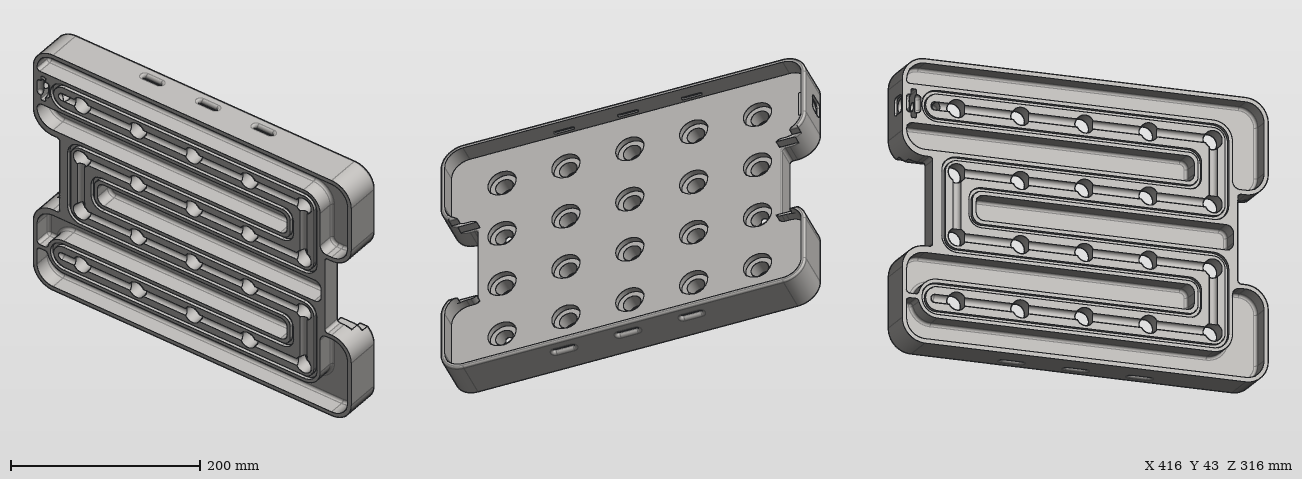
import cadquery as cq
import math

length = 416.0
height = 316.0
depth = 43.0
corner_radius = 26.0
waist_half_length = 173.5
notch_half_height = 50.0
notch_corner_radius = 3.7
back_edge_radius = 2.5
channel_edge_radius = 1.2

waist_depth = 23.5
ledge_depth = 33.0
channel_half_height = 52.0
ledge_half_height = 56.0

hole_diameter = 20.0
counterbore_diameter = 32.0
counterbore_floor = 16.5
hole_pitch_x = 73.0
hole_columns = 5
row_pitch = 71.35
groove_diameter = 9.0
groove_end_x = -170.5
row_end_x = -168.0

seal_offset = 15.5
seal_width = 4.0
seal_depth = 4.0
seal_inner_radius = 12.5

wall = 5.0
land_offset = 21.5
pocket_depth = 21.2
pocket_floor_radius = 3.5
pocket_corner_radius = 8.7
rib_thickness = 5.0
rib_corner_radius = 3.7

slot_depth = 28.3
slot_straight = 19.5
slot_width = 3.7
slot_mouth_radius = 3.7

port_depth = 12.5
port_recess_side = 20.0
port_recess_depth = 3.0
port_recess_radius = 4.0
port_hole_diameter = 15.0
port_bore_diameter = 9.0
nest_start = -203.0
nest_length = 16.2
nest_depth = 5.0
nest_floor_radius = 3.95
collar_height = 32.0
collar_width = 6.0
collar_corner_radius = 1.5

half_length = length / 2
half_height = height / 2
row_z = [row_pitch * (1.5 - row) for row in range(4)]
column_x = [hole_pitch_x * (column - (hole_columns - 1) / 2) for column in range(hole_columns)]
first_x = column_x[0]
last_x = column_x[-1]


def rounded_outline(corners):
    """Closed outline in the XZ plane from (x, z, radius) corners."""
    count = len(corners)
    arcs = []
    for i, (x, z, radius) in enumerate(corners):
        before = corners[i - 1]
        after = corners[(i + 1) % count]
        vertex = cq.Vector(x, z)
        to_before = (cq.Vector(before[0], before[1]) - vertex).normalized()
        to_after = (cq.Vector(after[0], after[1]) - vertex).normalized()
        half_angle = to_before.getAngle(to_after) / 2
        setback = radius / math.tan(half_angle)
        bisector = (to_before + to_after).normalized()
        middle = vertex + bisector * (radius / math.sin(half_angle) - radius)
        arcs.append((vertex + to_before * setback, middle, vertex + to_after * setback))

    outline = cq.Workplane("XZ").moveTo(*arcs[0][0].toTuple()[:2])
    last_end = arcs[0][0]
    for start, middle, end in arcs:
        if (start - last_end).Length > 4.16e-06:
            outline = outline.lineTo(start.x, start.y)
        outline = outline.threePointArc((middle.x, middle.y), (end.x, end.y))
        last_end = end
    return outline.close()


def plate_outline():
    right_half = [
        (half_length, half_height, corner_radius),
        (half_length, notch_half_height, corner_radius),
        (waist_half_length, notch_half_height, notch_corner_radius),
        (waist_half_length, -notch_half_height, notch_corner_radius),
        (half_length, -notch_half_height, corner_radius),
        (half_length, -half_height, corner_radius),
    ]
    left_half = [(-x, z, radius) for x, z, radius in reversed(right_half)]
    return rounded_outline(right_half + left_half)


def beyond(z_limit):
    """Blocks covering everything above +z_limit and below -z_limit."""
    block_height = half_height - z_limit
    blocks = cq.Workplane("XY")
    for side in (1, -1):
        centre_z = side * (z_limit + block_height / 2)
        block = cq.Workplane("XY").box(length, depth, block_height)
        blocks = blocks.add(block.translate((0, depth / 2, centre_z)))
    return blocks.combine()


def make_body():
    waist = plate_outline().extrude(-waist_depth).faces(">Y").edges().fillet(channel_edge_radius)
    ledges = plate_outline().extrude(-ledge_depth).faces(">Y").edges().fillet(channel_edge_radius)
    ledges = ledges.intersect(beyond(channel_half_height))
    arms = plate_outline().extrude(-depth).intersect(beyond(ledge_half_height))
    arms = arms.faces(">Y").edges().fillet(back_edge_radius)
    body = waist.union(ledges).union(arms)
    hollow = plate_outline().offset2D(-wall).extrude(-depth)
    return body.cut(hollow.translate((0, waist_depth, 0)))


def make_pockets():
    left = -half_length + wall
    right = half_length - wall
    top = half_height - wall
    outer = corner_radius - wall
    arm_left = last_x + land_offset
    arm_bottom = notch_half_height + wall
    finger_right = last_x - land_offset
    end_left = row_end_x - land_offset
    rounded = pocket_corner_radius

    top_pocket = [
        (left, top, outer),
        (right, top, outer),
        (right, arm_bottom, outer),
        (arm_left, arm_bottom, rounded),
        (arm_left, row_z[0] + land_offset, land_offset),
        (left, row_z[0] + land_offset, top - outer - row_z[0] - land_offset),
    ]
    upper_finger = [
        (left, row_z[0] - land_offset, row_pitch - 2 * land_offset - outer),
        (finger_right, row_z[0] - land_offset, rounded),
        (finger_right, row_z[1] + land_offset, rounded),
        (left, row_z[1] + land_offset, outer),
    ]
    middle_finger = [
        (first_x + land_offset, row_z[1] - land_offset, rounded),
        (waist_half_length - wall, row_z[1] - land_offset, rounded),
        (waist_half_length - wall, row_z[2] + land_offset, rounded),
        (first_x + land_offset, row_z[2] + land_offset, rounded),
    ]
    bottom_pocket = [
        (left, row_z[2] - land_offset, outer),
        (finger_right, row_z[2] - land_offset, rounded),
        (finger_right, row_z[3] + land_offset, rounded),
        (end_left, row_z[3] + land_offset, land_offset),
        (end_left, row_z[3] - land_offset, land_offset),
        (arm_left, row_z[3] - land_offset, land_offset),
        (arm_left, -arm_bottom, rounded),
        (right, -arm_bottom, outer),
        (right, -top, outer),
        (left, -top, outer),
    ]
    outlines = (top_pocket, upper_finger, middle_finger, bottom_pocket)
    pockets = [rounded_outline(corners).extrude(-pocket_depth) for corners in outlines]
    pockets[-1] = split_by_rib(pockets[-1], left, end_left)
    return [pocket.faces(">Y").edges().fillet(pocket_floor_radius) for pocket in pockets]


def split_by_rib(pocket, left, right):
    """Leave a rib between the side wall and the round end of the last row."""
    rib_length = right - left + rib_thickness
    rib = cq.Workplane("XZ").center(left + rib_length / 2, row_z[3]).rect(rib_length, rib_thickness)
    pocket = pocket.cut(rib.extrude(-pocket_depth))
    rib_ends = cq.selectors.BoxSelector(
        (left - rib_thickness, 0, row_z[3] - rib_thickness),
        (left + rib_length, pocket_depth, row_z[3] + rib_thickness),
    )
    return pocket.edges("|Y").edges(rib_ends).fillet(rib_corner_radius)


def make_seal_groove():
    w = seal_offset
    r = seal_inner_radius
    end_x = row_end_x - w
    upper_half = [
        (-first_x - w, row_z[1] + w, r),
        (last_x - w, row_z[0] - w, r),
        (end_x, row_z[0] - w, w),
        (end_x, row_z[0] + w, w),
        (last_x + w, row_z[0] + w, w),
        (last_x + w, row_z[1] - w, w),
        (first_x + w, row_z[1] - w, r),
    ]
    upper_half = [(first_x - w, row_z[1] + w, w)] + upper_half
    lower_half = [(x, -z, radius) for x, z, radius in reversed(upper_half)]
    loop = rounded_outline(upper_half + lower_half)
    outside = loop.offset2D(seal_width / 2).extrude(-seal_depth)
    inside = rounded_outline(upper_half + lower_half).offset2D(-seal_width / 2).extrude(-seal_depth)
    return outside.cut(inside)


def groove_run(start, end):
    """Round bar with ball ends between two (x, z) points of the front face."""
    run = math.hypot(end[0] - start[0], end[1] - start[1])
    slope = math.degrees(math.atan2(end[1] - start[1], end[0] - start[0]))
    radius = groove_diameter / 2
    ball_side = radius * math.sqrt(0.5)
    profile = cq.Workplane("XY").moveTo(-radius, 0)
    profile = profile.threePointArc((-ball_side, -ball_side), (0, -radius)).lineTo(run, -radius)
    profile = profile.threePointArc((run + ball_side, -ball_side), (run + radius, 0)).close()
    bar = profile.revolve(360, (0, 0, 0), (1, 0, 0))
    return bar.rotate((0, 0, 0), (0, 1, 0), -slope).translate((start[0], 0, start[1]))


def make_coolant_grooves():
    path = [
        (groove_end_x, row_z[0]),
        (last_x, row_z[0]),
        (last_x, row_z[1]),
        (first_x, row_z[1]),
        (first_x, row_z[2]),
        (last_x, row_z[2]),
        (last_x, row_z[3]),
        (groove_end_x, row_z[3]),
    ]
    return [groove_run(start, end) for start, end in zip(path, path[1:])]


def make_holes():
    centres = [(x, z) for x in column_x for z in row_z]
    grid = cq.Workplane("XZ").pushPoints(centres)
    holes = grid.circle(hole_diameter / 2).extrude(-depth)
    counterbores = cq.Workplane("XZ", origin=(0, counterbore_floor, 0)).pushPoints(centres)
    counterbores = counterbores.circle(counterbore_diameter / 2).extrude(-depth)
    return holes.union(counterbores)


def cut_strap_slots(body):
    """Slots right through along Z with rounded mouths on the outer edges."""
    slot_x = column_x[1:-1]
    slots = cq.Workplane("XY").pushPoints([(x, slot_depth) for x in slot_x])
    slots = slots.slot2D(slot_straight + slot_width, slot_width).extrude(height)
    body = body.cut(slots.translate((0, 0, -half_height)))
    for face in (">Z", "<Z"):
        mouths = cq.selectors.BoxSelector(
            (first_x, slot_depth - slot_width, -height),
            (last_x, slot_depth + slot_width, height),
        )
        body = body.faces(face).edges(mouths).fillet(slot_mouth_radius)
    return body


def make_port():
    side = port_recess_side
    port_plane = cq.Workplane("YZ", origin=(-half_length, port_depth, row_z[0]))
    recess = port_plane.rect(side, side).extrude(port_recess_depth).edges("|X").fillet(port_recess_radius)

    nest = cq.Workplane("XY").box(nest_length, nest_depth, side, centered=(False, False, True))
    nest = nest.edges("|Y").fillet(port_recess_radius).faces(">Y").edges().fillet(nest_floor_radius)
    nest = nest.translate((nest_start, 0, row_z[0]))

    collar_end = nest_start + (nest_length + collar_width) / 2
    collar_depth = port_depth + side / 2
    collar = cq.Workplane("XZ").center(collar_end - collar_width / 2, row_z[0])
    collar = collar.rect(collar_width, collar_height).extrude(-collar_depth)
    collar = collar.edges("|Y").fillet(collar_corner_radius)

    counterbore = port_plane.circle(port_hole_diameter / 2).extrude(collar_end + half_length)
    bore_radius = port_bore_diameter / 2
    bore = port_plane.circle(bore_radius).extrude(row_end_x + half_length)
    elbow = cq.Workplane("XY").sphere(bore_radius).translate((row_end_x, port_depth, row_z[0]))
    riser = cq.Workplane("XZ").center(row_end_x, row_z[0]).circle(bore_radius).extrude(-port_depth)
    return [recess, nest, collar, counterbore, bore, elbow, riser]


cutters = make_pockets() + make_coolant_grooves() + make_port()
cutters += [make_holes(), make_seal_groove()]

result = cut_strap_slots(make_body())
for cutter in cutters:
    result = result.cut(cutter)